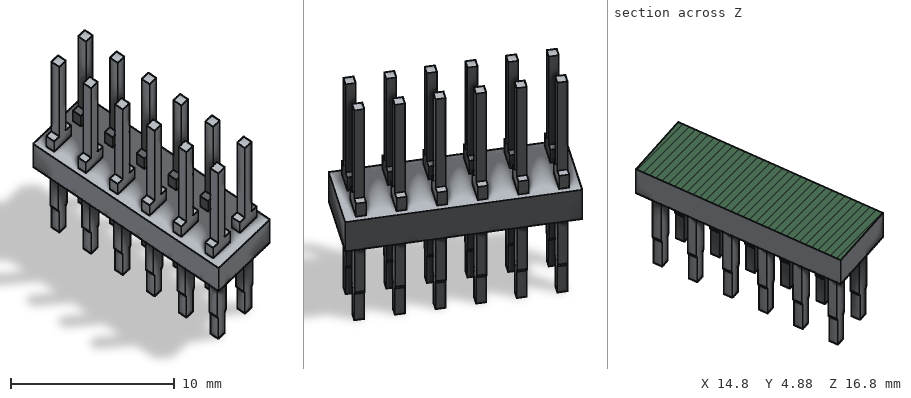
import cadquery as cq

body_length = 14.83
body_width = 4.88
body_height = 2.34

pitch = 2.54
columns = 6
rows = 2

total_height = 16.76
tail_length = 6.33
shoulder_height = 1.05
wide_tail_length = 4.0
taper_length = 0.24

pin_thickness = 0.635
pin_width = 0.635
shoulder_width = 1.61
wide_tail_width = 0.86

pin_bottom = -tail_length
pin_top = total_height - tail_length
shoulder_top = body_height + shoulder_height
taper_top = -wide_tail_length
taper_bottom = taper_top - taper_length


def make_body():
    """Rectangular insulator block."""
    return cq.Workplane("XY").box(
        body_length, body_width, body_height, centered=(True, True, False)
    )


def make_pin():
    """Flat-stamped pin: a profile in the YZ plane, symmetric about Z."""
    half_profile = [
        (0, pin_bottom),
        (pin_width / 2, pin_bottom),
        (pin_width / 2, taper_bottom),
        (wide_tail_width / 2, taper_top),
        (wide_tail_width / 2, 0),
        (shoulder_width / 2, 0),
        (shoulder_width / 2, shoulder_top),
        (pin_width / 2, shoulder_top),
        (pin_width / 2, pin_top),
        (0, pin_top),
    ]
    return (
        cq.Workplane("YZ")
        .polyline(half_profile)
        .mirrorY()
        .extrude(pin_thickness / 2, both=True)
    )


def add_pins(body):
    """Join one pin to the body at every point of the grid."""
    pin = make_pin()
    for column in range(columns):
        x = (column - (columns - 1) / 2) * pitch
        for row in range(rows):
            y = (row - (rows - 1) / 2) * pitch
            body = body.union(pin.translate((x, y, 0)))
    return body


result = add_pins(make_body())